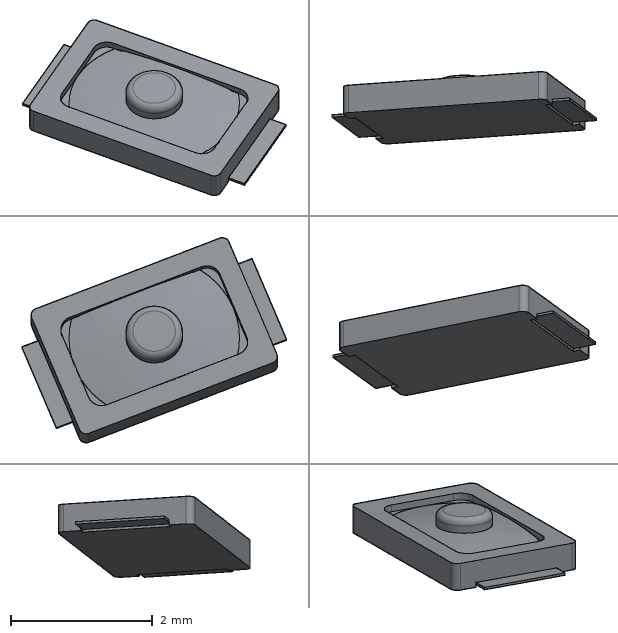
import cadquery as cq
import math

HOUSING_LENGTH = 3.0
HOUSING_WIDTH = 2.0
HOUSING_HEIGHT = 0.4
HOUSING_CORNER_RADIUS = 0.1

POCKET_LENGTH = 2.4
POCKET_WIDTH = 1.4
POCKET_CORNER_RADIUS = 0.2
POCKET_DEPTH = 0.1
POCKET_FLOOR = HOUSING_HEIGHT - POCKET_DEPTH

DOME_RADIUS = POCKET_LENGTH / 2
DOME_RISE = POCKET_DEPTH

BUTTON_DIAMETER = 0.8
BUTTON_TOP = 0.6
BUTTON_EDGE_RADIUS = 0.1

OVERALL_LENGTH = 3.5
TERMINAL_WIDTH = 1.3
TERMINAL_THICKNESS = 0.035
TERMINAL_TOP = 0.075
TERMINAL_INSET = 0.1
TERMINAL_BOTTOM = TERMINAL_TOP - TERMINAL_THICKNESS
TERMINAL_INNER_X = HOUSING_LENGTH / 2 - TERMINAL_INSET
TERMINAL_LENGTH = OVERALL_LENGTH / 2 - TERMINAL_INNER_X


def rounded_block(length, width, height, corner_radius, bottom):
    """Upright block centred on the Z axis with rounded vertical edges."""
    block = cq.Workplane("XY").workplane(offset=bottom).rect(length, width).extrude(height)
    return block.edges("|Z").fillet(corner_radius)


def pocket_space():
    """Space inside the pocket, carried on upward well past the crown of the dome."""
    return rounded_block(POCKET_LENGTH, POCKET_WIDTH, HOUSING_HEIGHT, POCKET_CORNER_RADIUS, POCKET_FLOOR)


def end_block(side, height, bottom):
    """Block with the plan of a terminal at the -X (side -1) or +X (side 1) end."""
    return (
        cq.Workplane("XY")
        .workplane(offset=bottom)
        .center(side * (TERMINAL_INNER_X + TERMINAL_LENGTH / 2), 0)
        .rect(TERMINAL_LENGTH, TERMINAL_WIDTH)
        .extrude(height)
    )


def make_housing():
    """Block with the top pocket and, at each end, a notch open at the bottom for a terminal."""
    housing = rounded_block(HOUSING_LENGTH, HOUSING_WIDTH, HOUSING_HEIGHT, HOUSING_CORNER_RADIUS, 0)
    housing = housing.cut(pocket_space())
    for side in (-1, 1):
        housing = housing.cut(end_block(side, TERMINAL_TOP, 0))
    return housing


def make_spherical_cap():
    """Full round cap that stands on the pocket floor."""
    sphere_radius = (DOME_RADIUS**2 + DOME_RISE**2) / (2 * DOME_RISE)
    crown = POCKET_FLOOR + DOME_RISE
    mid_height = POCKET_FLOOR + DOME_RISE / 2
    height_above_centre = sphere_radius - DOME_RISE / 2
    mid_radius = math.sqrt(sphere_radius**2 - height_above_centre**2)
    return (
        cq.Workplane("XZ")
        .moveTo(0, POCKET_FLOOR)
        .lineTo(DOME_RADIUS, POCKET_FLOOR)
        .threePointArc((mid_radius, mid_height), (0, crown))
        .close()
        .revolve(360, (0, 0), (0, 1))
    )


def make_dome():
    """Spherical cap trimmed by the long walls of the pocket."""
    return make_spherical_cap().intersect(pocket_space())


def make_button():
    """Round button with a rounded top edge, seated on the curved top of the dome."""
    button = (
        cq.Workplane("XY")
        .workplane(offset=POCKET_FLOOR)
        .circle(BUTTON_DIAMETER / 2)
        .extrude(BUTTON_TOP - POCKET_FLOOR)
        .faces(">Z")
        .edges()
        .fillet(BUTTON_EDGE_RADIUS)
    )
    return button.cut(make_spherical_cap())


def make_terminal(side):
    """Thin plate lying against the roof of its notch."""
    return end_block(side, TERMINAL_THICKNESS, TERMINAL_BOTTOM)


housing = make_housing()
dome = make_dome()
button = make_button()
terminals = [make_terminal(side) for side in (-1, 1)]

result = cq.Compound.makeCompound(
    [housing.val(), dome.val(), button.val(), *[terminal.val() for terminal in terminals]]
)